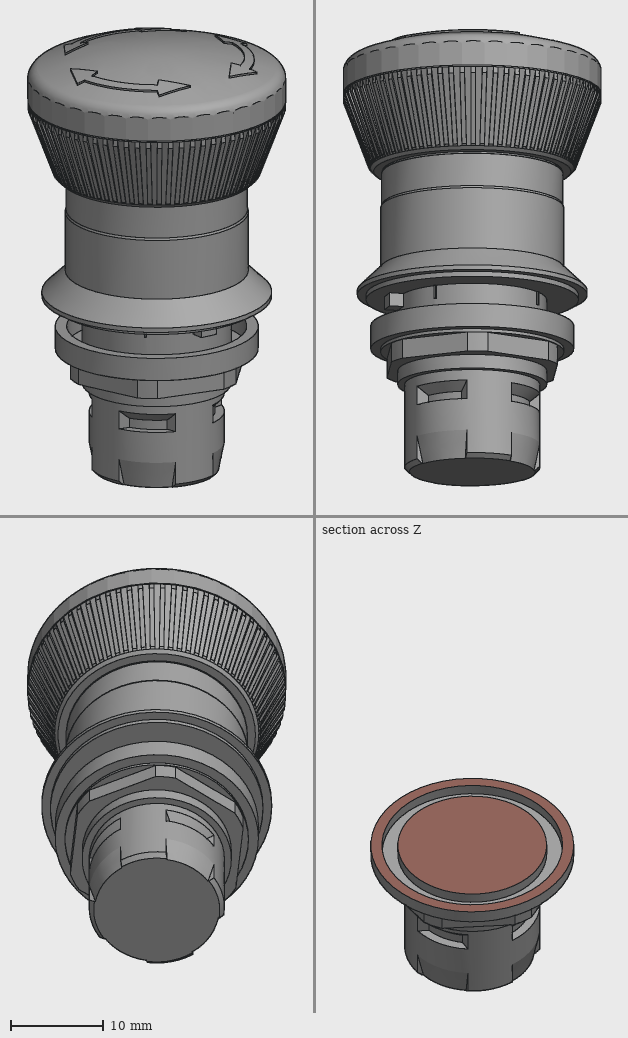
import cadquery as cq
import math


BARREL_RADIUS = 14.65 / 2
BARREL_TOP = 9.7
BARREL_CHAMFER = 0.5
RECESS_COUNT = 4
RECESS_FIRST_ANGLE = 45.0
RECESS_HALF_ANGLE = 25.0
WINDOW_BOTTOM = 6.5
WINDOW_TOP = 8.55
WINDOW_DEPTH = 1.0
WINDOW_FLOOR_HALF_ANGLE = 19.0
NOTCH_TOP = 3.0
NOTCH_DEPTH = 0.6
NOTCH_FLOOR_HALF_ANGLE = 23.0

NECK_RADIUS = 16.15 / 2
NUT_BOTTOM = 11.2
NUT_ACROSS_FLATS = 18.0
NUT_CORNER_RADIUS = 19.65 / 2
NUT_SIDES = 6
NUT_FLAT_ANGLE = -12.0
NUT_RIM_RADIUS = 19.85 / 2
NUT_RIM_BOTTOM = 13.3
WASHER_BOTTOM = 13.65
WASHER_TOP = 16.2
WASHER_RADIUS = 22.0 / 2
WASHER_BORE_RADIUS = 19.5 / 2
WASHER_BORE_FLOOR = 13.9

KEY_WIDTH = 2.0
KEY_REACH = 9.55
KEY_BOTTOM = 17.65
CENTRING_RIB_COUNT = 4
CENTRING_RIB_FIRST_ANGLE = 45.0
CENTRING_RIB_WIDTH = 0.2
CENTRING_RIB_REACH = 16.5 / 2

GASKET_RADIUS = 23.0 / 2
GASKET_BOTTOM = 19.1
FLANGE_RADIUS = 24.9 / 2
FLANGE_BOTTOM = 19.65
FLANGE_RIM_TOP = 20.15
SLEEVE_RADIUS = 19.85 / 2
SLEEVE_BOTTOM = 22.6
SLEEVE_TAPER_BOTTOM = 29.3
SLEEVE_TOP = 29.55
STEM_RADIUS = 19.65 / 2
STEM_TOP = 33.15
STEM_RELIEF_RADIUS = 19.5 / 2

HEAD_BOTTOM = 33.35
HEAD_CHAMFER = 0.55
SKIRT_BOTTOM_RADIUS = 11.23
SKIRT_TOP = 41.15
SKIRT_TOP_RADIUS = 13.95
SKIRT_ROOT_TOP = 41.85
GRIP_BOTTOM = 42.0
GRIP_RADIUS = 14.0
GRIP_SIDES = 36
SKIRT_RIB_COUNT = 72
SKIRT_RIB_WIDTH = 0.5
DOME_TOP = 47.89
DOME_RADIUS = 40.0
DOME_EDGE_ROUND = 1.5

ARROW_COUNT = 3
ARROW_FIRST_ANGLE = 60.0
ARROW_RAISE = 0.2
ARROW_TIP_RADIUS = 10.04
ARROW_TIP_ANGLE = 45.0
ARROW_SHAFT_INNER = 9.5
ARROW_SHAFT_OUTER = 10.56
ARROW_SHAFT_ANGLE = 24.0
ARROW_BARB_INNER = 8.5
ARROW_BARB_OUTER = 11.44
ARROW_BARB_ANGLE = 25.0

OVERLAP = 0.5


def polar(radius, degrees):
    """Point at a radius and angle."""
    angle = math.radians(degrees)
    return radius * math.cos(angle), radius * math.sin(angle)


def disc(radius, bottom, top):
    return cq.Workplane("XY").workplane(offset=bottom).circle(radius).extrude(top - bottom)


def revolved(points):
    """Solid of revolution about Z from (radius, height) points."""
    return cq.Workplane("XZ").polyline(points).close().revolve(360, (0, 0), (0, 1))


def around(body, count, first_angle=0.0):
    """Copies of a body spaced evenly about Z, as one workplane."""
    copies = cq.Workplane("XY")
    for index in range(count):
        turned = body.rotate((0, 0, 0), (0, 0, 1), first_angle + index * 360 / count)
        copies = copies.add(turned.vals())
    return copies


def join_all(body, copies):
    return cq.Workplane(body.val().fuse(*copies.vals()))



def sector(inner_radius, inner_half_angle, bottom, top):
    """Upright wedge along +X, reaching RECESS_HALF_ANGLE where it leaves the barrel."""
    inner_x, inner_y = polar(inner_radius, inner_half_angle)
    edge_x, edge_y = polar(BARREL_RADIUS, RECESS_HALF_ANGLE)
    slope = (edge_y - inner_y) / (edge_x - inner_x)
    outer_x = BARREL_RADIUS + OVERLAP
    outer_y = edge_y + slope * (outer_x - edge_x)
    back_x = inner_x - OVERLAP
    back_y = inner_y - slope * OVERLAP
    outline = [(back_x, -back_y), (outer_x, -outer_y), (outer_x, outer_y), (back_x, back_y)]
    return cq.Workplane("XY").workplane(offset=bottom).polyline(outline).close().extrude(top - bottom)


def window_cutter():
    """Blind window with a curved floor, flat sill, sloping ceiling and sloping ends."""
    floor_radius = BARREL_RADIUS - WINDOW_DEPTH
    outer_radius = BARREL_RADIUS + OVERLAP
    ring = revolved([
        (floor_radius, WINDOW_BOTTOM),
        (outer_radius, WINDOW_BOTTOM),
        (outer_radius, WINDOW_TOP + OVERLAP),
        (floor_radius, WINDOW_TOP - WINDOW_DEPTH),
    ])
    wedge = sector(floor_radius, WINDOW_FLOOR_HALF_ANGLE, WINDOW_BOTTOM, WINDOW_TOP + OVERLAP)
    return ring.intersect(wedge)


def notch_cutter():
    """Tapered relief at the lower end, deepest at the bottom, with sloping ends."""
    outer_radius = BARREL_RADIUS + OVERLAP
    bottom_radius = BARREL_RADIUS - NOTCH_DEPTH
    ring = revolved([
        (bottom_radius, 0),
        (outer_radius, 0),
        (outer_radius, NOTCH_TOP),
        (BARREL_RADIUS, NOTCH_TOP),
    ])
    return ring.intersect(sector(bottom_radius, NOTCH_FLOOR_HALF_ANGLE, 0, NOTCH_TOP))


def make_barrel():
    """Chamfered barrel with a window and a notch at each recess position."""
    barrel = disc(BARREL_RADIUS, 0, BARREL_TOP).faces("<Z").chamfer(BARREL_CHAMFER)
    for cutter in (window_cutter(), notch_cutter()):
        for copy in around(cutter, RECESS_COUNT, RECESS_FIRST_ANGLE).vals():
            barrel = barrel.cut(cq.Workplane(copy))
    return barrel



def make_nut():
    """Hexagon with its corners turned down, under a thin wider rim."""
    hexagon_diameter = NUT_ACROSS_FLATS / math.cos(math.pi / NUT_SIDES)
    hexagon = (
        cq.Workplane("XY").workplane(offset=NUT_BOTTOM)
        .polygon(NUT_SIDES, hexagon_diameter).extrude(WASHER_BOTTOM - NUT_BOTTOM)
        .rotate((0, 0, 0), (0, 0, 1), NUT_FLAT_ANGLE + 180 / NUT_SIDES)
    )
    nut = hexagon.intersect(disc(NUT_CORNER_RADIUS, NUT_BOTTOM, WASHER_BOTTOM))
    return nut.union(disc(NUT_RIM_RADIUS, NUT_RIM_BOTTOM, WASHER_BOTTOM))


def make_washer():
    """Washer with a shallow-floored bore that leaves a gap round the neck."""
    washer = disc(WASHER_RADIUS, WASHER_BOTTOM, WASHER_TOP)
    return washer.cut(disc(WASHER_BORE_RADIUS, WASHER_BORE_FLOOR, WASHER_TOP))


def make_neck():
    """Neck with the locating key on +X and four thin diagonal centring ribs."""
    neck = disc(NECK_RADIUS, BARREL_TOP, GASKET_BOTTOM)
    height = GASKET_BOTTOM - KEY_BOTTOM
    base = cq.Workplane("XY").workplane(offset=KEY_BOTTOM)
    key = base.box(KEY_REACH, KEY_WIDTH, height, centered=(False, True, False))
    rib = base.box(CENTRING_RIB_REACH, CENTRING_RIB_WIDTH, height, centered=(False, True, False))
    ribs = around(rib, CENTRING_RIB_COUNT, CENTRING_RIB_FIRST_ANGLE)
    return join_all(neck.union(key), ribs)



def make_sleeve():
    """Gasket, conical flange, sleeve and the stem that enters the head."""
    return revolved([
        (0, GASKET_BOTTOM),
        (GASKET_RADIUS, GASKET_BOTTOM),
        (GASKET_RADIUS, FLANGE_BOTTOM),
        (FLANGE_RADIUS, FLANGE_BOTTOM),
        (FLANGE_RADIUS, FLANGE_RIM_TOP),
        (SLEEVE_RADIUS, SLEEVE_BOTTOM),
        (SLEEVE_RADIUS, SLEEVE_TAPER_BOTTOM),
        (STEM_RADIUS, SLEEVE_TOP),
        (STEM_RADIUS, STEM_TOP),
        (STEM_RELIEF_RADIUS, STEM_TOP),
        (STEM_RELIEF_RADIUS, HEAD_BOTTOM),
        (0, HEAD_BOTTOM),
    ])



def make_skirt():
    """Conical skirt with straight, constant-width ribs standing on it."""
    skirt_bottom = HEAD_BOTTOM + HEAD_CHAMFER
    lip_radius = SKIRT_BOTTOM_RADIUS - HEAD_CHAMFER
    slope = (SKIRT_TOP_RADIUS - SKIRT_BOTTOM_RADIUS) / (SKIRT_TOP - skirt_bottom)
    rib_height = slope * (SKIRT_ROOT_TOP - SKIRT_TOP)
    root_drop = rib_height / (1 + slope)
    root_radius = SKIRT_BOTTOM_RADIUS - root_drop
    root_bottom = skirt_bottom - root_drop
    cone = revolved([
        (0, HEAD_BOTTOM),
        (lip_radius, HEAD_BOTTOM),
        (root_radius, root_bottom),
        (SKIRT_TOP_RADIUS, SKIRT_ROOT_TOP),
        (SKIRT_TOP_RADIUS, GRIP_BOTTOM),
        (0, GRIP_BOTTOM),
    ])
    rib_outline = [
        (root_radius - OVERLAP, root_bottom),
        (root_radius, root_bottom),
        (SKIRT_BOTTOM_RADIUS, skirt_bottom),
        (SKIRT_TOP_RADIUS, SKIRT_TOP),
        (SKIRT_TOP_RADIUS, SKIRT_ROOT_TOP),
        (SKIRT_TOP_RADIUS - OVERLAP, SKIRT_ROOT_TOP),
    ]
    rib = cq.Workplane("XZ").polyline(rib_outline).close().extrude(SKIRT_RIB_WIDTH / 2, both=True)
    return join_all(cone, around(rib, SKIRT_RIB_COUNT))


def make_dome(raise_by=0.0):
    """Domed disc with a rounded edge, optionally lifted along Z."""
    centre_z = DOME_TOP - DOME_RADIUS
    round_centre_r = GRIP_RADIUS - DOME_EDGE_ROUND
    centre_distance = DOME_RADIUS - DOME_EDGE_ROUND
    tilt = math.asin(round_centre_r / centre_distance)
    round_centre_z = centre_z + centre_distance * math.cos(tilt)

    def round_point(from_axis):
        return (
            round_centre_r + DOME_EDGE_ROUND * math.sin(from_axis),
            round_centre_z + DOME_EDGE_ROUND * math.cos(from_axis),
        )

    dome_middle = (
        DOME_RADIUS * math.sin(tilt / 2),
        centre_z + DOME_RADIUS * math.cos(tilt / 2),
    )
    return (
        cq.Workplane("XZ")
        .moveTo(0, GRIP_BOTTOM)
        .lineTo(GRIP_RADIUS, GRIP_BOTTOM)
        .lineTo(GRIP_RADIUS, round_centre_z)
        .threePointArc(round_point((tilt + math.pi / 2) / 2), round_point(tilt))
        .threePointArc(dome_middle, (0, DOME_TOP))
        .close()
        .revolve(360, (0, 0), (0, 1))
        .translate((0, 0, raise_by))
    )


def make_grip():
    """Dome whose side is cut to a regular polygon."""
    prism = (
        cq.Workplane("XY").workplane(offset=GRIP_BOTTOM)
        .polygon(GRIP_SIDES, 2 * GRIP_RADIUS).extrude(DOME_TOP - GRIP_BOTTOM + OVERLAP)
    )
    return make_dome().intersect(prism)


def make_arrow():
    """Curved double-headed arrow about +X, following the dome at a small height."""
    prism = (
        cq.Workplane("XY").workplane(offset=GRIP_BOTTOM + OVERLAP)
        .moveTo(*polar(ARROW_SHAFT_OUTER, -ARROW_SHAFT_ANGLE))
        .threePointArc((ARROW_SHAFT_OUTER, 0), polar(ARROW_SHAFT_OUTER, ARROW_SHAFT_ANGLE))
        .lineTo(*polar(ARROW_BARB_OUTER, ARROW_BARB_ANGLE))
        .lineTo(*polar(ARROW_TIP_RADIUS, ARROW_TIP_ANGLE))
        .lineTo(*polar(ARROW_BARB_INNER, ARROW_BARB_ANGLE))
        .lineTo(*polar(ARROW_SHAFT_INNER, ARROW_SHAFT_ANGLE))
        .threePointArc((ARROW_SHAFT_INNER, 0), polar(ARROW_SHAFT_INNER, -ARROW_SHAFT_ANGLE))
        .lineTo(*polar(ARROW_BARB_INNER, -ARROW_BARB_ANGLE))
        .lineTo(*polar(ARROW_TIP_RADIUS, -ARROW_TIP_ANGLE))
        .lineTo(*polar(ARROW_BARB_OUTER, -ARROW_BARB_ANGLE))
        .close()
        .extrude(DOME_TOP - GRIP_BOTTOM)
    )
    return prism.intersect(make_dome(ARROW_RAISE))


def make_head():
    arrows = around(make_arrow(), ARROW_COUNT, ARROW_FIRST_ANGLE)
    return make_skirt().union(join_all(make_grip(), arrows))


result = (
    make_barrel()
    .union(make_neck())
    .union(make_nut())
    .union(make_washer())
    .union(make_sleeve())
    .union(make_head())
)